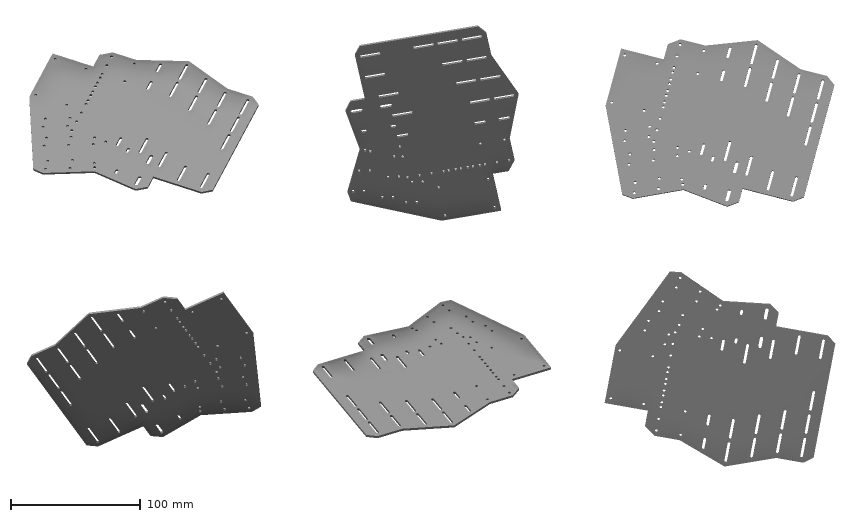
import cadquery as cq
import math

plate_length = 167.1
plate_width = 147.0
plate_thickness = 2.0

hole_diameter = 2.2
column_pitch = 19.0
row_pitch = column_pitch / 2
first_column_x = 43.5
upper_row_y = 128.3
lower_row_y = 48.1
upper_row_count = 6
lower_row_count = 7

slot_travel = 14.2
short_slot_travel = slot_travel / 2

lower_group_y = 47.6
lower_group_spacing = 23.2
lower_slot_travel = 2.5
wide_slot_width = 2.7
wide_slot_travel = 6.9

wing_hole_x = 4.0
wing_hole_y = 70.2
wing_hole_spacing_x = 25.9
wing_hole_spacing_y = 39.1

tilt = 25.0
tilted_origin = (20.0, 51.0)
tilted_rows = (0, -column_pitch, -column_pitch - lower_group_spacing)
second_pattern_shift = (-2.2, -8.0)
first_pattern_counts = (2, 2, 2)
second_pattern_counts = (2, 3, 3)

wing_top_y = 113.6
wing_bottom_y = 66.7
wing_right_x = 34.1
upper_left_y = 132.5
upper_right_y = 133.0
right_bottom_y = 29.4
step_x = 119.5
foot_corner_x = 39.3
foot_end_y = 1.0
notch_x = 75.4
toe_x = 111.6
toe_y = 12.5
toe_rise = 5.7
corner_run = 7.2
corner_rise = 5.3
left_corner_run = 8.5
left_corner_rise = 6.4


def column_x(column):
    return first_column_x + column * column_pitch


def outline_points():
    tilt_slope = math.tan(math.radians(tilt))
    foot_end_x = (wing_bottom_y - foot_end_y) * tilt_slope
    notch_y = (notch_x - foot_corner_x) * tilt_slope
    return [
        (0, wing_top_y),
        (0, wing_bottom_y),
        (foot_end_x, foot_end_y),
        (foot_corner_x, 0),
        (notch_x, notch_y),
        (toe_x, toe_y),
        (step_x, toe_y + toe_rise),
        (step_x, right_bottom_y),
        (plate_length - corner_run, right_bottom_y),
        (plate_length, right_bottom_y + corner_rise),
        (plate_length, upper_right_y - corner_rise),
        (plate_length - corner_run, upper_right_y),
        (column_x(5), upper_right_y),
        (column_x(3), plate_width),
        (column_x(1), upper_left_y),
        (wing_right_x + left_corner_run, upper_left_y),
        (wing_right_x, upper_left_y - left_corner_rise),
        (wing_right_x, wing_top_y),
    ]


def grid_hole_points():
    points = [(column_x(0), upper_row_y - i * row_pitch) for i in range(upper_row_count)]
    points += [(column_x(0), lower_row_y + i * row_pitch) for i in range(lower_row_count)]
    for y in (upper_row_y, upper_row_y - column_pitch, lower_row_y):
        points.append((column_x(1), y))
    return points


def wing_hole_points():
    return [
        (wing_hole_x + i * wing_hole_spacing_x, wing_hole_y + j * wing_hole_spacing_y)
        for i in range(2)
        for j in range(2)
    ]


def tilted_hole_points(counts, shift):
    cos_tilt = math.cos(math.radians(tilt))
    sin_tilt = math.sin(math.radians(tilt))
    points = []
    for row, count in zip(tilted_rows, counts):
        for i in range(count):
            along = shift[0] + i * column_pitch
            across = shift[1] + row
            x = tilted_origin[0] + along * cos_tilt - across * sin_tilt
            y = tilted_origin[1] + along * sin_tilt + across * cos_tilt
            points.append((x, y))
    return points


def cut_holes(plate, points):
    holes = cq.Workplane("XY").pushPoints(points).circle(hole_diameter / 2).extrude(plate_thickness)
    return plate.cut(holes)


def cut_slots(plate, points, travel, width=hole_diameter):
    """Cut slots along Y; travel is the distance between the centres of the round ends."""
    slots = cq.Workplane("XY").pushPoints(points).slot2D(travel + width, width, 90).extrude(plate_thickness)
    return plate.cut(slots)


def cut_grid_slots(plate):
    slot_columns = [
        (2, short_slot_travel, short_slot_travel / 2, 2),
        (3, slot_travel, slot_travel / 2, 2),
        (4, slot_travel, 0, 2),
        (5, slot_travel, -slot_travel / 2, 2),
        (6, slot_travel, -slot_travel / 2, 3),
    ]
    for column, travel, shift, upper_count in slot_columns:
        rows = [upper_row_y - i * column_pitch for i in range(upper_count)] + [lower_row_y]
        plate = cut_slots(plate, [(column_x(column), y + shift) for y in rows], travel)
    return plate


def cut_lower_group(plate):
    first_x = column_x(1.5)
    for y in (lower_group_y, lower_group_y - lower_group_spacing):
        plate = cut_holes(plate, [(first_x, y)])
        narrow_center = (first_x + column_pitch, y - lower_slot_travel / 2)
        plate = cut_slots(plate, [narrow_center], lower_slot_travel)
        wide_center = (first_x + 2 * column_pitch, y - wide_slot_travel / 2)
        plate = cut_slots(plate, [wide_center], wide_slot_travel, wide_slot_width)
    return plate


plate = cq.Workplane("XY").polyline(outline_points()).close().extrude(plate_thickness)
plate = cut_holes(plate, grid_hole_points())
plate = cut_holes(plate, wing_hole_points())
plate = cut_holes(plate, tilted_hole_points(first_pattern_counts, (0, 0)))
plate = cut_holes(plate, tilted_hole_points(second_pattern_counts, second_pattern_shift))
plate = cut_grid_slots(plate)
result = cut_lower_group(plate)